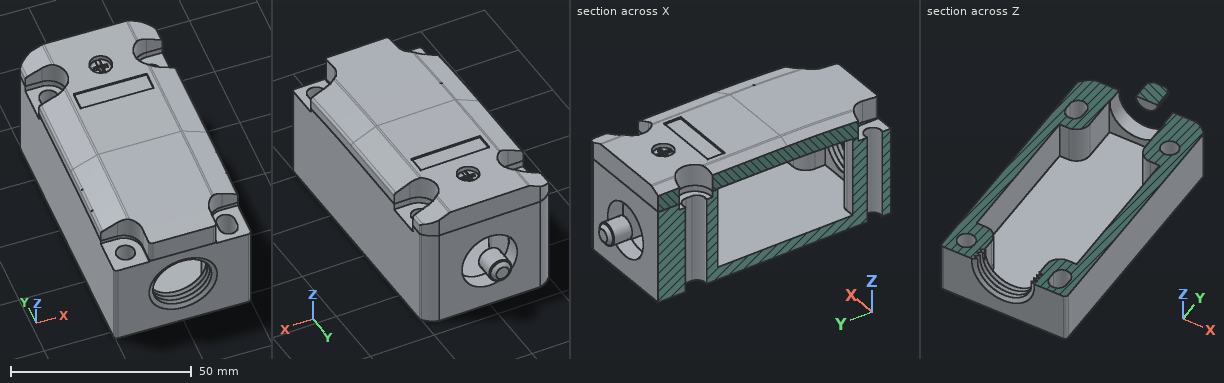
import cadquery as cq
import math


WIDTH = 40.5
HALF_WIDTH = WIDTH / 2
LENGTH = 78.2
HEIGHT = 37.3
TOTAL_LENGTH = 85.7

EDGE_RADIUS = 1.0
REAR_HALF_WIDTH = 15.85
SHOULDER_Y = 75.1
SHOULDER_RADIUS = 8.1

RIDGE_HALF_WIDTH = 12.4
RIDGE_RADIUS = 1.3
EAVES_Z = 33.8
BEND_Y = 34.8
TOP_DROP = 1.5
NOSE_OVERRUN = 1.2
PARTING_Z = 30.3
PARTING_DROP = 1.7

HOLE_X = 15.0
FRONT_HOLE_Y = 5.5
HOLE_SPACING_Y = 60
REAR_HOLE_Y = FRONT_HOLE_Y + HOLE_SPACING_Y
HOLE_DIAMETER = 5.3
SLOT_LENGTH = 7.3
POCKET_X = 15.4
POCKET_RADIUS = 5.5
POCKET_Z = 28.4

FLOOR = 4.3
SIDE_WALL = 4.3
BOSS_X = 8.8
BOSS_REACH_Y = 7.45
BOSS_RADIUS = 4.3

BORE_Z = 15.3
BORE_RADIUS = 8.65
THREAD_ROOT_RADIUS = 10.0
THREAD_PITCH = 1.45
CREST_COUNT = 4
END_WALL = (CREST_COUNT - 0.5) * THREAD_PITCH

PLATE_WIDTH = 21.5
PLATE_LENGTH = 5.65
PLATE_Y = 55.1
PLATE_DEPTH = 0.5

SCREW_RADIUS = 3.2
SCREW_HOLE_DEPTH = 3.4
SCREW_TOP_Z = HEIGHT - 1.1
SCREW_EDGE = 0.5
SLOT_WIDTH = 1.3
SLOT_DEPTH = 0.5
CROSS_LENGTH = 4.0
CROSS_WIDTH = 1.1
CORE_LENGTH = 2.4
CORE_WIDTH = 0.85
CORE_DEPTH = 1.3

PLUNGER_Z = 16.4
PLUNGER_RADIUS = 3.5
PLUNGER_START_Y = 78.3
PLUNGER_SHOULDER_Y = 84.6
SHOULDER_CHAMFER_LENGTH = 0.25
SHOULDER_CHAMFER_DEPTH = 0.1
DOME_RADIUS = 3.2
DOME_ARC_RADIUS = 3.4
TIP_RADIUS = 2.0

SELECT_MARGIN = 0.4


def edges_near(half_x, y_range, z_range):
    """Selector for edges whose centres lie in a box that is symmetric about x = 0."""
    return cq.selectors.BoxSelector(
        (-half_x - SELECT_MARGIN, y_range[0] - SELECT_MARGIN, z_range[0] - SELECT_MARGIN),
        (half_x + SELECT_MARGIN, y_range[1] + SELECT_MARGIN, z_range[1] + SELECT_MARGIN),
    )


def arc_radius(drop):
    """Radius of an arc that leaves the horizontal at BEND_Y and has fallen by drop at y = 0."""
    return (BEND_Y**2 + drop**2) / (2 * drop)


def footprint(height):
    """Plan outline of housing and cover, extruded upwards from z = 0."""
    outline = (
        cq.Workplane("XY")
        .moveTo(-HALF_WIDTH, 0)
        .lineTo(HALF_WIDTH, 0)
        .lineTo(HALF_WIDTH, SHOULDER_Y)
        .radiusArc((REAR_HALF_WIDTH, LENGTH), -SHOULDER_RADIUS)
        .lineTo(-REAR_HALF_WIDTH, LENGTH)
        .radiusArc((-HALF_WIDTH, SHOULDER_Y), -SHOULDER_RADIUS)
        .close()
        .extrude(height)
    )
    corners = edges_near(HALF_WIDTH, (0, SHOULDER_Y), (0, height))
    return outline.edges("|Z").edges(corners).fillet(EDGE_RADIUS)


def below_parting():
    """Everything under the joint: level behind the bend, falling along an arc in front."""
    radius = arc_radius(PARTING_DROP)
    half_angle = math.asin(BEND_Y / radius) / 2
    mid_point = (
        BEND_Y - radius * math.sin(half_angle),
        PARTING_Z - radius * (1 - math.cos(half_angle)),
    )
    return (
        cq.Workplane("YZ")
        .lineTo(0, PARTING_Z - PARTING_DROP)
        .threePointArc(mid_point, (BEND_Y, PARTING_Z))
        .lineTo(LENGTH, PARTING_Z)
        .lineTo(LENGTH, 0)
        .close()
        .extrude(HALF_WIDTH, both=True)
    )


def roof():
    """Roof-shaped section run straight behind the bend and around the top arc in front of it."""
    section = (
        cq.Workplane("XZ", origin=(0, BEND_Y, 0))
        .moveTo(-HALF_WIDTH, 0)
        .lineTo(-HALF_WIDTH, EAVES_Z)
        .lineTo(-RIDGE_HALF_WIDTH, HEIGHT)
        .lineTo(RIDGE_HALF_WIDTH, HEIGHT)
        .lineTo(HALF_WIDTH, EAVES_Z)
        .lineTo(HALF_WIDTH, 0)
        .close()
    )
    straight = section.extrude(BEND_Y - LENGTH)
    ridges = edges_near(RIDGE_HALF_WIDTH, (BEND_Y, LENGTH), (HEIGHT, HEIGHT))
    eaves = edges_near(HALF_WIDTH, (BEND_Y, LENGTH), (EAVES_Z, EAVES_Z))
    straight = straight.edges(ridges).edges("|Y").fillet(RIDGE_RADIUS)
    straight = straight.edges(eaves).edges("|Y").fillet(EDGE_RADIUS)

    arc = arc_radius(TOP_DROP)
    axis_z = HEIGHT - arc
    sweep_angle = NOSE_OVERRUN * math.degrees(math.asin(BEND_Y / arc))
    curved = cq.Solid.revolve(
        straight.faces("<Y").val().outerWire(),
        [],
        sweep_angle,
        cq.Vector(0, BEND_Y, axis_z),
        cq.Vector(0.85, BEND_Y, axis_z),
    )
    return straight.union(cq.Workplane(curved))


def corner_pockets():
    """Recesses above the holes: round inwards, open sideways, the front pair also open forwards."""
    depth = HEIGHT - POCKET_Z
    diameter = 2 * POCKET_RADIUS
    side_x = POCKET_X + POCKET_RADIUS
    floor_plane = cq.Workplane("XY").workplane(offset=POCKET_Z)

    hole_rows = (FRONT_HOLE_Y, REAR_HOLE_Y)
    round_ends = [(side * POCKET_X, y) for side in (-1, 1) for y in hole_rows]
    side_openings = [(side * side_x, y) for side in (-1, 1) for y in hole_rows]
    front_openings = [(side * POCKET_X, 0) for side in (-1, 1)]
    return (
        floor_plane.pushPoints(round_ends).circle(POCKET_RADIUS).extrude(depth)
        .union(floor_plane.pushPoints(side_openings).rect(diameter, diameter).extrude(depth))
        .union(floor_plane.pushPoints(front_openings).rect(diameter, 2 * FRONT_HOLE_Y).extrude(depth))
    )


def mounting_holes():
    """Round holes at one pair of opposite corners, slots along Y at the other pair."""
    rounds = (
        cq.Workplane("XY")
        .pushPoints([(-HOLE_X, FRONT_HOLE_Y), (HOLE_X, REAR_HOLE_Y)])
        .circle(HOLE_DIAMETER / 2)
        .extrude(HEIGHT)
    )
    slots = (
        cq.Workplane("XY")
        .pushPoints([(HOLE_X, FRONT_HOLE_Y), (-HOLE_X, REAR_HOLE_Y)])
        .slot2D(SLOT_LENGTH, HOLE_DIAMETER, 90)
        .extrude(HEIGHT)
    )
    return rounds.union(slots)


def cavity():
    """Cross-shaped interior that leaves a boss around each mounting hole."""
    half_width = HALF_WIDTH - SIDE_WALL
    ends = (END_WALL, LENGTH - END_WALL)
    bosses = (FRONT_HOLE_Y + BOSS_REACH_Y, REAR_HOLE_Y - BOSS_REACH_Y)

    def block(half_x, y_range):
        return (
            cq.Workplane("XY", origin=(0, sum(y_range) / 2, FLOOR))
            .rect(2 * half_x, y_range[1] - y_range[0])
            .extrude(HEIGHT - FLOOR)
        )

    cross = block(half_width, bosses).union(block(BOSS_X, ends))
    free_corners = edges_near(BOSS_X, bosses, (FLOOR, HEIGHT))
    return cross.edges("|Z").edges(free_corners).fillet(BOSS_RADIUS)


def cable_bore():
    """Threaded bore through the front wall, continued with a plain bore through the rear wall."""
    profile = cq.Workplane("XY")
    for turn in range(CREST_COUNT):
        root_y = turn * THREAD_PITCH
        profile = profile.lineTo(THREAD_ROOT_RADIUS, root_y)
        profile = profile.lineTo(BORE_RADIUS, root_y + THREAD_PITCH / 2)
    bore = (
        profile.lineTo(BORE_RADIUS, LENGTH)
        .lineTo(0, LENGTH)
        .close()
        .revolve(360, (0, 0, 0), (0, 1, 0))
    )
    return bore.translate((0, 0, BORE_Z))


def make_housing():
    body = footprint(HEIGHT).intersect(below_parting())
    return (
        body.cut(cavity())
        .cut(cable_bore())
        .cut(corner_pockets())
        .cut(mounting_holes())
    )


def make_cover():
    body = footprint(HEIGHT).intersect(roof()).cut(below_parting()).cut(corner_pockets())
    nose_edges = edges_near(POCKET_X - POCKET_RADIUS, (0, 0), (POCKET_Z, HEIGHT))
    body = body.edges("|Z").edges(nose_edges).fillet(EDGE_RADIUS)
    name_plate = (
        cq.Workplane("XY", origin=(0, PLATE_Y, HEIGHT - PLATE_DEPTH))
        .rect(PLATE_WIDTH, PLATE_LENGTH)
        .extrude(PLATE_DEPTH)
    )
    screw_hole = (
        cq.Workplane("XY", origin=(0, REAR_HOLE_Y, HEIGHT - SCREW_HOLE_DEPTH))
        .circle(SCREW_RADIUS)
        .extrude(SCREW_HOLE_DEPTH)
    )
    return body.cut(name_plate).cut(screw_hole)


def make_screw():
    """Round head with a full-width slot, a shorter cross arm and a deeper cross at the centre."""
    bottom = HEIGHT - SCREW_HOLE_DEPTH
    head = (
        cq.Workplane("XY", origin=(0, REAR_HOLE_Y, bottom))
        .circle(SCREW_RADIUS)
        .extrude(SCREW_TOP_Z - bottom)
        .faces(">Z")
        .edges()
        .fillet(SCREW_EDGE)
    )
    recesses = [
        (SLOT_WIDTH, 2 * SCREW_RADIUS, SLOT_DEPTH),
        (CROSS_LENGTH, CROSS_WIDTH, SLOT_DEPTH),
        (CORE_WIDTH, CORE_LENGTH, CORE_DEPTH),
        (CORE_LENGTH, CORE_WIDTH, CORE_DEPTH),
    ]
    for size_x, size_y, depth in recesses:
        recess = (
            cq.Workplane("XY", origin=(0, REAR_HOLE_Y, SCREW_TOP_Z))
            .rect(size_x, size_y)
            .extrude(-depth)
        )
        head = head.cut(recess)
    return head


def make_plunger():
    """Round pin along Y with a shouldered, rounded tip."""
    pin = (
        cq.Workplane("XY")
        .moveTo(0, PLUNGER_START_Y)
        .lineTo(PLUNGER_RADIUS, PLUNGER_START_Y)
        .lineTo(PLUNGER_RADIUS, PLUNGER_SHOULDER_Y - SHOULDER_CHAMFER_LENGTH)
        .lineTo(PLUNGER_RADIUS - SHOULDER_CHAMFER_DEPTH, PLUNGER_SHOULDER_Y)
        .lineTo(DOME_RADIUS, PLUNGER_SHOULDER_Y)
        .radiusArc((TIP_RADIUS, TOTAL_LENGTH), -DOME_ARC_RADIUS)
        .lineTo(0, TOTAL_LENGTH)
        .close()
        .revolve(360, (0, 0, 0), (0, 1, 0))
    )
    return pin.translate((0, 0, PLUNGER_Z))


housing = make_housing()
cover = make_cover()
screw = make_screw()
plunger = make_plunger()

result = cq.Compound.makeCompound([housing.val(), cover.val(), screw.val(), plunger.val()])